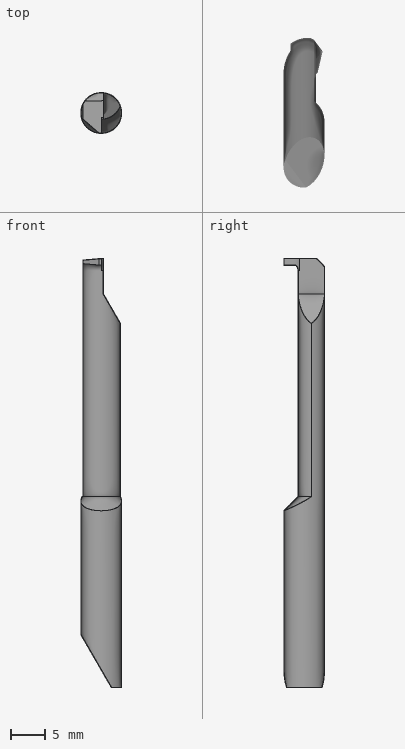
import cadquery as cq
import math


length = 63.0
diameter = 6.0
radius = diameter / 2
end_cut_angle = 30.0
end_cut_x = radius / 2

relief_shift = 2.1
relief_radius = radius
relief_bottom = 28.05
neck_top = 61.25
flare_radius = 1.0
side_flat_x = -2.7

relief_angle = 5.0
head_thickness = 1.0
front_flat_x = 0.3
front_flat_height = 5.2
run_out_angle = 30.0
rake_x = 0.05
rake_height = 1.75
rake_back_y = -0.7
tip_x = -0.3
clearance_start_y = -0.9
back_chamfer = 1.2

reach = 2 * diameter


def rise(run, angle):
    """Axial rise of a slope that moves sideways by run at an angle from Z."""
    return run / math.tan(math.radians(angle))


def box(x_range, y_range, z_range):
    """Box between the given limits."""
    sizes = [end - start for start, end in (x_range, y_range, z_range)]
    corner = (x_range[0], y_range[0], z_range[0])
    return cq.Workplane("XY").box(*sizes, centered=False).translate(corner)


def xz_prism(points):
    """Prism across the whole bar in Y from an outline in X and Z."""
    return cq.Workplane("XZ").polyline(points).close().extrude(reach, both=True)


def tilted(shape, pivot_z, angle):
    """Tilt a shape about a Y line in the rake face; a positive angle raises its -X side."""
    return shape.rotate((rake_x, 0, pivot_z), (rake_x, 1, pivot_z), angle)


def end_cut():
    """Sloped cut on the -X side of the lower end."""
    run = end_cut_x + reach
    return xz_prism([(end_cut_x, 0), (-reach, rise(run, end_cut_angle)), (-reach, 0)])


def neck_relief():
    """Ring cut around the shifted axis, ending in a cone below and the head underside above."""
    flare_bend = flare_radius * (1 - math.sqrt(0.5))
    flare_top = neck_top + flare_radius
    ring = (
        cq.Workplane("XZ")
        .moveTo(relief_radius, relief_bottom)
        .lineTo(relief_radius, neck_top)
        .threePointArc((relief_radius + flare_bend, flare_top - flare_bend),
                       (relief_radius + flare_radius, flare_top))
        .lineTo(reach, flare_top)
        .lineTo(reach, relief_bottom - (reach - relief_radius))
        .close()
        .revolve(360, (0, 0), (0, 1))
        .translate((0, relief_shift, 0))
    )
    underside_z = length - head_thickness
    span = (-2 * reach, 2 * reach)
    head_room = box(span, span, (underside_z, length + reach))
    return ring.cut(tilted(head_room, underside_z, relief_angle))


def side_flat():
    """Flat along the -X side above the shank."""
    return box((-reach, side_flat_x), (-reach, reach), (relief_bottom, length))


def front_flat():
    """Flat on the +X side of the head with a sloped run-out."""
    flat_z = length - front_flat_height
    run_out_z = flat_z - rise(reach - front_flat_x, run_out_angle)
    return xz_prism([(front_flat_x, length), (front_flat_x, flat_z), (reach, run_out_z), (reach, length)])


def rake_face():
    """Shallow recess that forms the rake face at the tip."""
    return box((rake_x, reach), (-reach, rake_back_y), (length - rake_height, length))


def clearance():
    """Slanted face from the side flat to the cutting edge."""
    tip_y = -math.sqrt(radius**2 - tip_x**2)
    outline = [(side_flat_x, clearance_start_y), (tip_x, tip_y), (tip_x, -reach),
               (-reach, -reach), (-reach, clearance_start_y)]
    return (
        cq.Workplane("XY", origin=(0, 0, length - rake_height))
        .polyline(outline).close().extrude(rake_height)
    )


def top_relief():
    """Material above the tilted top face."""
    return tilted(box((-reach, reach), (-reach, reach), (length, length + reach)), length, -relief_angle)


def chamfer_wedge():
    """Chamfer along the +Y edge of the tilted top face."""
    wedge = (
        cq.Workplane("YZ")
        .polyline([(radius - back_chamfer, length), (radius, length - back_chamfer),
                   (reach, length - back_chamfer), (reach, length)])
        .close()
        .extrude(reach, both=True)
    )
    return tilted(wedge, length, -relief_angle)


result = cq.Workplane("XY").circle(radius).extrude(length)
for cutter in (end_cut(), neck_relief(), side_flat(), front_flat(), rake_face(),
               clearance(), top_relief(), chamfer_wedge()):
    result = result.cut(cutter)